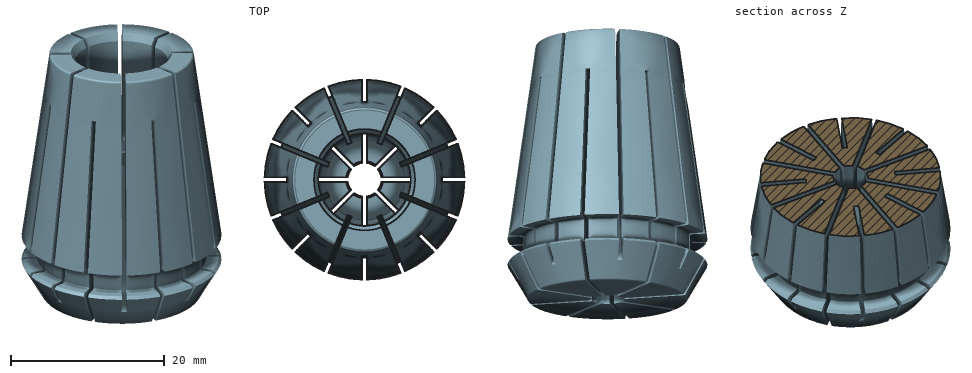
import cadquery as cq
import math


total_height = 34.0
max_radius = 13.0
flange_height = 5.0
groove_width = 3.1
groove_radius = 11.0
taper_angle = math.radians(8.0)
nut_cone_angle = math.radians(30.0)
rim_chamfer = 0.35
groove_fillet = 0.2
bottom_fillet = 0.3
top_fillet = 0.3

grip_radius = 2.2
grip_length = 19.0
grip_edge_chamfer = 0.2
relief_radius = 6.0
relief_floor_fillet = 0.8
mouth_chamfer_depth = 1.0
mouth_chamfer_angle = math.radians(30.0)

slots_per_set = 8
slot_width = 0.6
lower_slot_top = 28.5
upper_slot_bottom = 2.3
upper_slot_floor_radius = 5.07
cut_margin = 2.0

slot_pitch = 360.0 / slots_per_set
taper_start = flange_height + groove_width
top_radius = max_radius - (total_height - taper_start) * math.tan(taper_angle)
rim_bottom = flange_height - rim_chamfer
bottom_radius = max_radius - rim_bottom * math.tan(nut_cone_angle)
mouth_radius = relief_radius + mouth_chamfer_depth * math.tan(mouth_chamfer_angle)


def make_body():
    """Solid of revolution for the outside, with its corners rounded."""
    profile = (
        cq.Workplane("XZ")
        .polyline([
            (0, 0),
            (bottom_radius, 0),
            (max_radius, rim_bottom),
            (max_radius - rim_chamfer, flange_height),
            (groove_radius, flange_height),
            (groove_radius, taper_start),
            (max_radius, taper_start),
            (top_radius, total_height),
            (0, total_height),
        ])
        .close()
    )
    body = profile.revolve(360, (0, 0, 0), (0, 1, 0))
    groove_corners = body.edges(cq.selectors.RadiusNthSelector(2))
    body = groove_corners.fillet(groove_fillet)
    body = body.faces("<Z").edges().fillet(bottom_fillet)
    return body.faces(">Z").edges().fillet(top_fillet)


def make_bore():
    """Grip hole, wider relief bore with a rounded floor, and a tapered mouth."""
    fillet_center_radius = relief_radius - relief_floor_fillet
    fillet_center_height = grip_length + relief_floor_fillet
    fillet_middle = (
        fillet_center_radius + relief_floor_fillet * math.sin(math.pi / 4),
        fillet_center_height - relief_floor_fillet * math.cos(math.pi / 4),
    )
    profile = (
        cq.Workplane("XZ")
        .moveTo(0, 0)
        .lineTo(grip_radius, 0)
        .lineTo(grip_radius, grip_length - grip_edge_chamfer)
        .lineTo(grip_radius + grip_edge_chamfer, grip_length)
        .lineTo(fillet_center_radius, grip_length)
        .threePointArc(fillet_middle, (relief_radius, fillet_center_height))
        .lineTo(relief_radius, total_height - mouth_chamfer_depth)
        .lineTo(mouth_radius, total_height)
        .lineTo(0, total_height)
        .close()
    )
    return profile.revolve(360, (0, 0, 0), (0, 1, 0))


def make_lower_slot():
    """Radial slot open at the bottom and cut through to the bore."""
    return cq.Workplane("XY").box(
        max_radius + cut_margin, slot_width, lower_slot_top, centered=(False, True, False)
    )


def make_upper_slot():
    """Radial slot open at the top, its floor sloping from the relief floor out to the nut cone."""
    exit_radius = bottom_radius + upper_slot_bottom * math.tan(nut_cone_angle)
    floor_slope = (grip_length - upper_slot_bottom) / (exit_radius - upper_slot_floor_radius)
    cut_radius = exit_radius + cut_margin
    cut_bottom = upper_slot_bottom - cut_margin * floor_slope
    profile = (
        cq.Workplane("XZ")
        .polyline([
            (upper_slot_floor_radius, grip_length),
            (cut_radius, cut_bottom),
            (cut_radius, total_height),
            (upper_slot_floor_radius, total_height),
        ])
        .close()
    )
    return profile.extrude(slot_width / 2, both=True)


def cut_slots(body, slot, start_angle):
    """Cut one set of equally spaced slots, the first at start_angle from +X."""
    for index in range(slots_per_set):
        angle = start_angle + index * slot_pitch
        body = body.cut(slot.rotate((0, 0, 0), (0, 0, 1), angle))
    return body


collet = make_body().cut(make_bore())
collet = cut_slots(collet, make_lower_slot(), 0)
collet = cut_slots(collet, make_upper_slot(), slot_pitch / 2)
result = collet